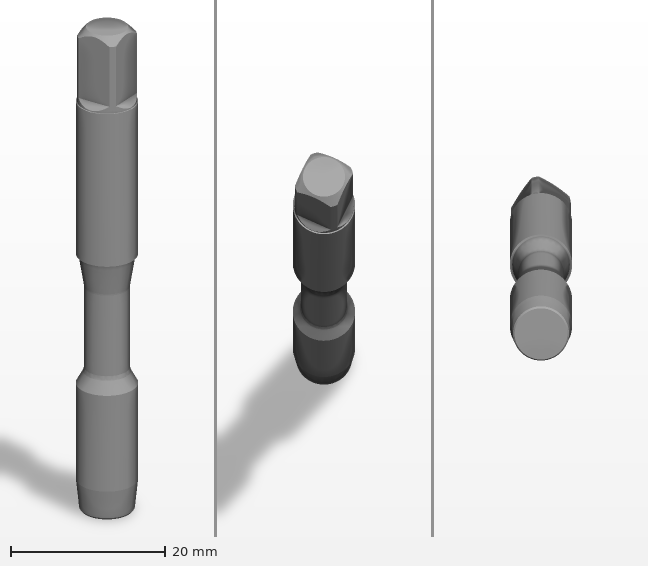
import cadquery as cq

TOTAL_LENGTH = 69.1
BODY_DIAMETER = 8.1
NECK_DIAMETER = 5.95

TIP_DIAMETER = 7.25
TIP_EDGE_HEIGHT = 0.3
TIP_EDGE_INSET = 0.2
LEAD_TAPER_TOP = 4.3
THREAD_TOP = 18.05

NECK_BOTTOM = 20.05
NECK_TOP = 32.0
NECK_FILLET = 1.25
SHANK_BOTTOM = 36.55
SHANK_CONE_DIAMETER = 7.45

DRIVE_DIAMETER = 7.75
DRIVE_BOTTOM = 58.45
DRIVE_WIDTH = 6.1
FLAT_BOTTOM = 59.4
TOP_DIAMETER = 5.45
TOP_CONE_HEIGHT = 1.1


def revolve_profile(points):
    """Revolve a closed (radius, height) outline about the Z axis."""
    return cq.Workplane("XZ").polyline(points).close().revolve(360, (0, 0, 0), (0, 1, 0))


def make_threaded_end():
    """Tapered cutting end, up to the foot of the neck cone."""
    return revolve_profile([
        (0, 0),
        (TIP_DIAMETER / 2 - TIP_EDGE_INSET, 0),
        (TIP_DIAMETER / 2, TIP_EDGE_HEIGHT),
        (BODY_DIAMETER / 2, LEAD_TAPER_TOP),
        (BODY_DIAMETER / 2, THREAD_TOP),
        (0, THREAD_TOP),
    ])


def make_drive_cutter():
    """Tool that mills one flat, with a 45 degree run-out sloping down and outward."""
    flat = DRIVE_WIDTH / 2
    outside = BODY_DIAMETER
    return (
        cq.Workplane("XZ")
        .polyline([
            (flat, TOTAL_LENGTH),
            (flat, FLAT_BOTTOM),
            (outside, FLAT_BOTTOM - (outside - flat)),
            (outside, TOTAL_LENGTH),
        ])
        .close()
        .extrude(BODY_DIAMETER, both=True)
    )


def fillet_neck_end(shank, height):
    """Round the inner corner where the neck meets a cone at the given height."""
    reach = NECK_DIAMETER
    slab_half_height = 0.1
    edges = cq.selectors.BoxSelector(
        (-reach, -reach, height - slab_half_height),
        (reach, reach, height + slab_half_height),
        boundingbox=True,
    )
    return shank.edges(edges).fillet(NECK_FILLET)


def make_shank():
    """Shank standing on a filleted neck between two cones, with a square drive at the top."""
    shank = revolve_profile([
        (0, THREAD_TOP),
        (BODY_DIAMETER / 2, THREAD_TOP),
        (NECK_DIAMETER / 2, NECK_BOTTOM),
        (NECK_DIAMETER / 2, NECK_TOP),
        (SHANK_CONE_DIAMETER / 2, SHANK_BOTTOM),
        (BODY_DIAMETER / 2, SHANK_BOTTOM),
        (BODY_DIAMETER / 2, DRIVE_BOTTOM),
        (DRIVE_DIAMETER / 2, DRIVE_BOTTOM),
        (DRIVE_DIAMETER / 2, TOTAL_LENGTH - TOP_CONE_HEIGHT),
        (TOP_DIAMETER / 2, TOTAL_LENGTH),
        (0, TOTAL_LENGTH),
    ])
    shank = fillet_neck_end(shank, NECK_BOTTOM)
    shank = fillet_neck_end(shank, NECK_TOP)
    cutter = make_drive_cutter()
    for angle in (0, 90, 180, 270):
        shank = shank.cut(cutter.rotate((0, 0, 0), (0, 0, 1), angle))
    return shank


threaded_end = make_threaded_end()
shank = make_shank()

result = cq.Compound.makeCompound([threaded_end.val(), shank.val()])